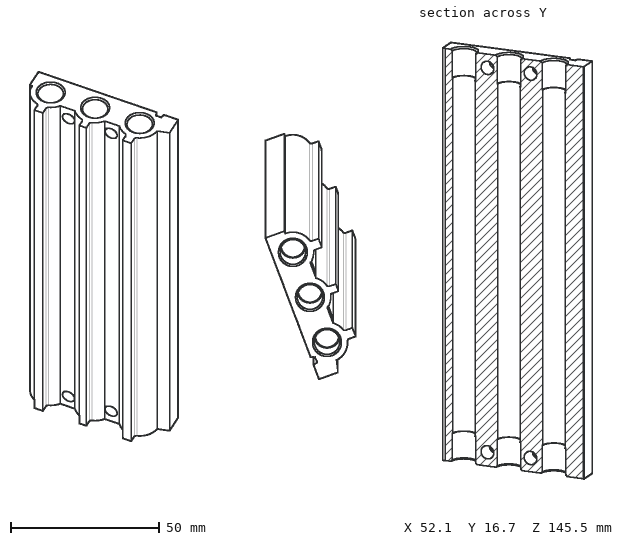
import cadquery as cq
import math

length = 145.5
width = 52.1
depth = 16.7

bore_count = 3
first_bore_x = 7.9
bore_pitch = 16.6
lobe_radius = 7.0
bore_y = -lobe_radius
bore_diameter = 8.0

mouth_diameter = 8.6
mouth_depth = 10.0
rim_diameter = 9.7

web_thickness = 11.2

flank_depth = 6.8
ledge_inner_x = 47.9
ledge_inner_depth = 7.9

outer_rib_width = 3.2
outer_rib_spacing = 32.9
middle_rib_width = 2.6
rib_root_fillet = 0.8

groove_center_x = 45.4
groove_mouth_width = 2.8
groove_floor_width = 2.0
groove_depth = 1.5

mount_diameter = 4.5
mount_spacing = 15.9
mount_end_distance = 5.0

bore_xs = [first_bore_x + i * bore_pitch for i in range(bore_count)]
left_bore_x = bore_xs[0]
middle_bore_x = bore_xs[1]
right_bore_x = bore_xs[-1]


def prism(points):
    """Closed polygon in XY, extruded over the full length."""
    return cq.Workplane("XY").polyline(points).close().extrude(length)


def lobe(x):
    """Full-length round lobe on a bore axis, tangent to the back face."""
    return cq.Workplane("XY").center(x, bore_y).circle(lobe_radius).extrude(length)


def plate(x_min, x_max, thickness):
    """Full-length plate reaching from the back face toward -Y."""
    return prism([(x_min, 0), (x_max, 0), (x_max, -thickness), (x_min, -thickness)])


def rib(center_x, rib_width):
    """Full-length rib starting inside the lobe, at the bore axis."""
    half = rib_width / 2
    return prism([
        (center_x - half, bore_y),
        (center_x + half, bore_y),
        (center_x + half, -depth),
        (center_x - half, -depth),
    ])


def lobed_web():
    """Web between the outer bores, the three lobes and the two side flanks."""
    body = plate(left_bore_x, right_bore_x, web_thickness)
    body = body.union(plate(0, left_bore_x, flank_depth))
    body = body.union(prism([
        (right_bore_x, 0),
        (width, 0),
        (width, -flank_depth),
        (ledge_inner_x, -ledge_inner_depth),
        (right_bore_x, -ledge_inner_depth),
    ]))
    for x in bore_xs:
        body = body.union(lobe(x))
    return body


def add_rib(body, center_x, lobe_x, rib_width):
    """Join a rib to its lobe and round both corners where they meet."""
    body = body.union(rib(center_x, rib_width))
    for side in (-1, 1):
        root_x = center_x + side * rib_width / 2
        root_y = bore_y - math.sqrt(lobe_radius**2 - (root_x - lobe_x) ** 2)
        root = (root_x, root_y, length / 2)
        body = body.edges(cq.NearestToPointSelector(root)).fillet(rib_root_fillet)
    return body


def bore_cutter(x):
    """Through bore, widened and chamfered at both ends."""
    chamfer = (rim_diameter - mouth_diameter) / 2
    half_profile = [
        (0, 0),
        (rim_diameter / 2, 0),
        (mouth_diameter / 2, chamfer),
        (mouth_diameter / 2, mouth_depth),
        (bore_diameter / 2, mouth_depth),
        (bore_diameter / 2, length / 2),
        (0, length / 2),
    ]
    lower = cq.Workplane("XZ").polyline(half_profile).close().revolve(360, (0, 0), (0, 1))
    upper = lower.mirror("XY").translate((0, 0, length))
    return lower.union(upper).translate((x, bore_y, 0))


def groove_cutter():
    """Trapezoid, wider at the back face than at its floor."""
    return prism([
        (groove_center_x - groove_mouth_width / 2, 0),
        (groove_center_x + groove_mouth_width / 2, 0),
        (groove_center_x + groove_floor_width / 2, -groove_depth),
        (groove_center_x - groove_floor_width / 2, -groove_depth),
    ])


def mount_cutter():
    """Four holes along Y, a pair near each end."""
    return (
        cq.Workplane("XZ", origin=(middle_bore_x, 0, length / 2))
        .rarray(mount_spacing, length - 2 * mount_end_distance, 2, 2)
        .circle(mount_diameter / 2)
        .extrude(depth)
    )


result = lobed_web()
result = add_rib(result, middle_bore_x - outer_rib_spacing / 2, left_bore_x, outer_rib_width)
result = add_rib(result, middle_bore_x, middle_bore_x, middle_rib_width)
result = add_rib(result, middle_bore_x + outer_rib_spacing / 2, right_bore_x, outer_rib_width)
for bore_x in bore_xs:
    result = result.cut(bore_cutter(bore_x))
result = result.cut(groove_cutter()).cut(mount_cutter())